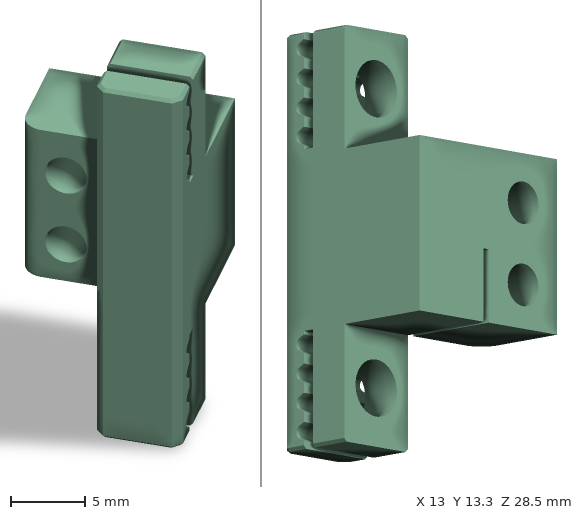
import cadquery as cq

TOTAL_WIDTH = 13.0
TOTAL_DEPTH = 13.3
TOTAL_HEIGHT = 28.5

BLOCK_DEPTH = 7.2
BLOCK_BOTTOM = 8.0
BLOCK_HEIGHT = 12.0
BLOCK_TOP = BLOCK_BOTTOM + BLOCK_HEIGHT
BLOCK_FRONT = TOTAL_DEPTH - BLOCK_DEPTH
BLOCK_CORNER_RADIUS = 1.5
SEAM_HEIGHT = 13.02
CLEARANCE = 0.5

HOLE_DIAMETER = 2.9
HOLE_X = 3.22
LOWER_HOLE_Z = 11.0
HOLE_SPACING = 5.61

POST_WIDTH = 6.0
POST_LEFT = TOTAL_WIDTH - POST_WIDTH
FRONT_CHAMFER = 0.6
END_CHAMFER = 0.23

SLOT_LENGTH = 8.05
SLOT_WIDTH = 0.85
SLOT_BACK = BLOCK_FRONT - 3.02
SLOT_FRONT = SLOT_BACK - SLOT_WIDTH
GROOVE_COUNT = 4
GROOVE_PITCH = 2.0
INNER_GROOVE_OFFSET = 0.88
GROOVE_DEPTH = 0.7
GROOVE_MOUTH_WIDTH = 1.3
GROOVE_ARC_WIDTH = 0.8
GROOVE_FLANK_DEPTH = 0.48

JAW_HOLE_DIAMETER = 3.9
JAW_HOLE_X = POST_LEFT + POST_WIDTH / 2


def box(x_min, x_max, y_min, y_max, z_min, z_max):
    """Box between opposite corners."""
    return cq.Workplane("XY").box(
        x_max - x_min, y_max - y_min, z_max - z_min, centered=False
    ).translate((x_min, y_min, z_min))


def make_post(z_min, z_max, end_face):
    """Half of the post, chamfered in front and around its free end."""
    post = box(POST_LEFT, TOTAL_WIDTH, 0, BLOCK_FRONT, z_min, z_max)
    post = post.edges("|Z and <Y").chamfer(FRONT_CHAMFER)
    return post.faces(end_face).edges("not >Y").chamfer(END_CHAMFER)


def make_groove(z):
    """Belt-tooth groove with sloped flanks and a round root, centred at height z."""
    mouth_half = GROOVE_MOUTH_WIDTH / 2
    arc_half = GROOVE_ARC_WIDTH / 2
    arc_y = SLOT_FRONT - GROOVE_FLANK_DEPTH
    return (
        cq.Workplane("YZ", origin=(POST_LEFT, 0, 0))
        .moveTo(SLOT_BACK, z - mouth_half)
        .lineTo(SLOT_FRONT, z - mouth_half)
        .lineTo(arc_y, z - arc_half)
        .threePointArc((SLOT_FRONT - GROOVE_DEPTH, z), (arc_y, z + arc_half))
        .lineTo(SLOT_FRONT, z + mouth_half)
        .lineTo(SLOT_BACK, z + mouth_half)
        .close()
        .extrude(POST_WIDTH)
    )


def make_belt_slot(closed_end, direction):
    """Slot running from its closed end to a post end; direction is +1 up, -1 down."""
    open_end = closed_end + direction * SLOT_LENGTH
    z_min, z_max = sorted((closed_end, open_end))
    slot = box(POST_LEFT, TOTAL_WIDTH, SLOT_FRONT, SLOT_BACK, z_min, z_max)
    for index in range(GROOVE_COUNT):
        offset = INNER_GROOVE_OFFSET + index * GROOVE_PITCH
        slot = slot.union(make_groove(closed_end + direction * offset))
    return slot


def make_jaw_hole(z):
    """Hole from the back of the post into the belt slot, centred at height z."""
    return (
        cq.Workplane("XZ", origin=(JAW_HOLE_X, BLOCK_FRONT, z))
        .circle(JAW_HOLE_DIAMETER / 2)
        .extrude(BLOCK_FRONT - SLOT_BACK)
    )


def make_mounting_holes():
    """Pair of holes through the block from front to back."""
    hole_points = [(HOLE_X, LOWER_HOLE_Z + index * HOLE_SPACING) for index in range(2)]
    return (
        cq.Workplane("XZ", origin=(0, TOTAL_DEPTH, 0))
        .pushPoints(hole_points)
        .circle(HOLE_DIAMETER / 2)
        .extrude(BLOCK_DEPTH)
    )


def make_upper_clamp():
    """Mounting block with the upper post; its lower right is cut away for the other body."""
    block = box(0, TOTAL_WIDTH, BLOCK_FRONT, TOTAL_DEPTH, BLOCK_BOTTOM, BLOCK_TOP)
    block = block.edges("|Z and <X and <Y").fillet(BLOCK_CORNER_RADIUS)
    notch = box(
        POST_LEFT - CLEARANCE, TOTAL_WIDTH, BLOCK_FRONT, TOTAL_DEPTH, BLOCK_BOTTOM, SEAM_HEIGHT
    )
    block = block.cut(notch).cut(make_mounting_holes())
    post = make_post(SEAM_HEIGHT, TOTAL_HEIGHT, ">Z")
    post = post.cut(make_belt_slot(TOTAL_HEIGHT - SLOT_LENGTH, 1))
    post = post.cut(make_jaw_hole(TOTAL_HEIGHT - SLOT_LENGTH / 2))
    return block.union(post)


def make_lower_clamp():
    """Lower post with a rear tab that fills the notch, less the side clearance."""
    tab = box(POST_LEFT, TOTAL_WIDTH, BLOCK_FRONT, TOTAL_DEPTH, BLOCK_BOTTOM, SEAM_HEIGHT)
    post = make_post(0, SEAM_HEIGHT, "<Z")
    post = post.cut(make_belt_slot(SLOT_LENGTH, -1))
    post = post.cut(make_jaw_hole(SLOT_LENGTH / 2))
    return tab.union(post)


upper_clamp = make_upper_clamp()
lower_clamp = make_lower_clamp()

result = cq.Compound.makeCompound([*upper_clamp.solids().vals(), *lower_clamp.solids().vals()])